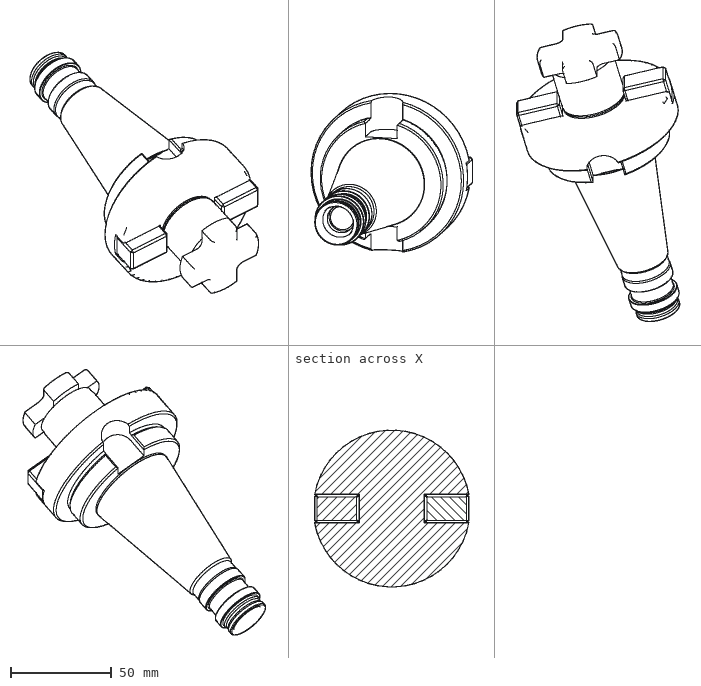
import cadquery as cq
import math


thread_radius = 11.1
thread_edge = 0.5
thread_groove_start = 2.0
thread_groove_end = 5.3
thread_groove_depth = 0.5
thread_groove_slope = 1.0
collar_radius = 12.5
collar_edge = 0.23
first_collar_start = 6.5
first_collar_end = 11.1
tail_neck_radius = 10.8
tail_neck_root_length = 0.6
tail_neck_root_rise = 0.3
second_collar_start = 18.5
second_collar_end = 23.8
tail_land_start = 24.7
tail_land_radius = 12.2
tail_land_end = 29.4

taper_start = 30.5
taper_end = 93.8
taper_slope = 7 / 48
taper_large_radius = 22.4
taper_small_radius = taper_large_radius - taper_slope * (taper_end - taper_start)
relief_radius = 22.2

rear_flange_radius = 31.5
rear_flange_start = 94.8
rear_flange_end = 104.8
rear_flange_chamfer = 1.0
flange_neck_radius = 30.7
flange_neck_root_length = 0.8
flange_neck_root_rise = 0.2

front_flange_diameter = 78.0
front_flange_radius = front_flange_diameter / 2
front_flange_start = 106.5
front_flange_end = 123.2
front_flange_chamfer = 1.0
front_flange_fillet = 1.5

hub_radius = 16.0
hub_end = 147.2
hub_undercut_depth = 0.3
hub_undercut_length = 0.8
hub_undercut_slope = 1.0
hub_lead_start = 144.2
hub_lead_end = 145.6
hub_lead_radius = 15.6

slot_half_width = 8.1
slot_end = 113.7
slot_floor = 22.5
slot_edge_chamfer = 1.1

key_width = 14.0
key_start = 115.9
key_end = 130.1
key_inner = 16.3
key_outer = 38.3
key_chamfer = 1.1

bore_radius = 8.5
bore_mouth_fillet = 1.7
bore_depth = 6.5
bore_throat_length = 3.1
plug_radius = 6.9
plug_start = 12.5
plug_length = 9.4
plug_chamfer = 1.0

retainer_radius = 21.0
retainer_end = 156.4
retainer_edge_fillet = 1.9
lobe_half_width = 7.8
lobe_root_fillet = 3.3


def revolve_profile(points):
    """Solid of revolution about the X axis from (x, radius) points that close along the axis."""
    return cq.Workplane("XY").polyline(points).close().revolve(360, (0, 0, 0), (1, 0, 0))


def box_between(x_range, y_range, z_range):
    """Box given by its limits along each axis."""
    (x0, x1), (y0, y1), (z0, z1) = x_range, y_range, z_range
    return cq.Workplane("XY").box(x1 - x0, y1 - y0, z1 - z0, centered=False).translate((x0, y0, z0))


def tail_points():
    """Outline of the threaded end, the two collars with the neck between them, and the land."""
    groove_radius = thread_radius - thread_groove_depth
    collar_edge_radius = collar_radius - collar_edge
    neck_root_radius = tail_neck_radius + tail_neck_root_rise
    return [
        (0, 0),
        (0, thread_radius - thread_edge),
        (thread_edge, thread_radius),
        (thread_groove_start, thread_radius),
        (thread_groove_start + thread_groove_slope, groove_radius),
        (thread_groove_end - thread_groove_slope, groove_radius),
        (thread_groove_end, thread_radius),
        (first_collar_start, thread_radius),
        (first_collar_start, collar_edge_radius),
        (first_collar_start + collar_edge, collar_radius),
        (first_collar_end - collar_edge, collar_radius),
        (first_collar_end, collar_edge_radius),
        (first_collar_end, neck_root_radius),
        (first_collar_end + tail_neck_root_length, tail_neck_radius),
        (second_collar_start - tail_neck_root_length, tail_neck_radius),
        (second_collar_start, neck_root_radius),
        (second_collar_start, collar_edge_radius),
        (second_collar_start + collar_edge, collar_radius),
        (second_collar_end, collar_radius),
        (tail_land_start, tail_land_radius),
        (tail_land_end, tail_land_radius),
    ]


def taper_points():
    """Outline of the steep taper and the short relief behind it."""
    return [
        (taper_start, taper_small_radius),
        (taper_end, taper_large_radius),
        (taper_end, relief_radius),
        (rear_flange_start, relief_radius),
    ]


def flange_points():
    """Outline of both flanges and the neck between them."""
    return [
        (rear_flange_start, rear_flange_radius - rear_flange_chamfer),
        (rear_flange_start + rear_flange_chamfer, rear_flange_radius),
        (rear_flange_end - rear_flange_chamfer, rear_flange_radius),
        (rear_flange_end, flange_neck_radius),
        (front_flange_start - flange_neck_root_length, flange_neck_radius),
        (front_flange_start, flange_neck_radius + flange_neck_root_rise),
        (front_flange_start, front_flange_radius - front_flange_chamfer),
        (front_flange_start + front_flange_chamfer, front_flange_radius),
        (front_flange_end, front_flange_radius),
    ]


def hub_points():
    """Outline of the pilot hub with its root undercut and tapered lead."""
    undercut_radius = hub_radius - hub_undercut_depth
    undercut_end = front_flange_end + hub_undercut_length
    return [
        (front_flange_end, undercut_radius),
        (undercut_end, undercut_radius),
        (undercut_end + hub_undercut_slope, hub_radius),
        (hub_lead_start, hub_radius),
        (hub_lead_end, hub_lead_radius),
        (hub_end, hub_lead_radius),
        (hub_end, 0),
    ]


def spindle_slot():
    """Slot cutter for the +Z side: round-ended slot plus chamfers along the rear flange edges."""
    top = front_flange_radius
    round_centre = slot_end - slot_half_width
    slot = box_between(
        (rear_flange_start, round_centre), (-slot_half_width, slot_half_width), (slot_floor, top)
    )
    slot_round = (
        cq.Workplane("XY", origin=(round_centre, 0, slot_floor))
        .circle(slot_half_width)
        .extrude(top - slot_floor)
    )
    edge_height = math.sqrt(rear_flange_radius**2 - slot_half_width**2)
    chamfer_foot = edge_height - slot_edge_chamfer
    rise = rear_flange_radius - chamfer_foot
    edge_chamfer = (
        cq.Workplane("YZ", origin=(rear_flange_start, 0, 0))
        .polyline([
            (-slot_half_width, chamfer_foot),
            (slot_half_width, chamfer_foot),
            (slot_half_width + rise, chamfer_foot + rise),
            (-slot_half_width - rise, chamfer_foot + rise),
        ])
        .close()
        .extrude(rear_flange_end - rear_flange_start)
    )
    return slot.union(slot_round).union(edge_chamfer)


def key_recess():
    """Recess for the key on the -Y side, open outwards and towards the hub end."""
    half_width = key_width / 2
    return box_between(
        (key_start, front_flange_end), (-front_flange_radius, -key_inner), (-half_width, half_width)
    )


def tail_bore():
    """Blind bore with a rounded mouth and a conical throat down to the hole that holds the plug."""
    mouth_radius = bore_radius + bore_mouth_fillet
    arc_middle = bore_mouth_fillet * (1 - math.sqrt(0.5))
    return (
        cq.Workplane("XY")
        .lineTo(0, mouth_radius)
        .threePointArc((arc_middle, bore_radius + arc_middle), (bore_mouth_fillet, bore_radius))
        .lineTo(bore_depth, bore_radius)
        .lineTo(bore_depth + bore_throat_length, plug_radius)
        .lineTo(plug_start + plug_length, plug_radius)
        .lineTo(plug_start + plug_length, 0)
        .close()
        .revolve(360, (0, 0, 0), (1, 0, 0))
    )


def make_arbor():
    arbor = revolve_profile(tail_points() + taper_points() + flange_points() + hub_points())
    rim_edges = arbor.edges(cq.selectors.RadiusNthSelector(-1))
    arbor = rim_edges.edges(">X").fillet(front_flange_fillet)
    arbor = arbor.cut(tail_bore())
    for angle in (0, 180):
        arbor = arbor.cut(spindle_slot().rotate((0, 0, 0), (1, 0, 0), angle))
        arbor = arbor.cut(key_recess().rotate((0, 0, 0), (1, 0, 0), angle))
    return arbor


def make_drive_key(angle):
    """Key block with all edges chamfered, turned about the axis from the -Y side."""
    half_width = key_width / 2
    key = box_between((key_start, key_end), (-key_outer, -key_inner), (-half_width, half_width))
    return key.edges().chamfer(key_chamfer).rotate((0, 0, 0), (1, 0, 0), angle)


def make_bore_plug():
    plug = cq.Workplane("YZ", origin=(plug_start, 0, 0)).circle(plug_radius).extrude(plug_length)
    return plug.faces("<X").edges().chamfer(plug_chamfer)


def make_cutter_retainer():
    """Disc with four lobes, left by square-cornered notches with rounded roots."""
    length = retainer_end - hub_end
    disc = cq.Workplane("YZ", origin=(hub_end, 0, 0)).circle(retainer_radius).extrude(length)
    span = (lobe_half_width, retainer_radius)
    notch = box_between((hub_end, retainer_end), span, span)
    notch = notch.edges("|X and <Y and <Z").fillet(lobe_root_fillet)
    for index in range(4):
        disc = disc.cut(notch.rotate((0, 0, 0), (1, 0, 0), 90 * index))
    return disc.faces(">X").edges().fillet(retainer_edge_fillet)


arbor = make_arbor()
drive_keys = [make_drive_key(angle) for angle in (0, 180)]
bore_plug = make_bore_plug()
cutter_retainer = make_cutter_retainer()

result = cq.Compound.makeCompound([
    arbor.val(),
    *[key.val() for key in drive_keys],
    bore_plug.val(),
    cutter_retainer.val(),
])